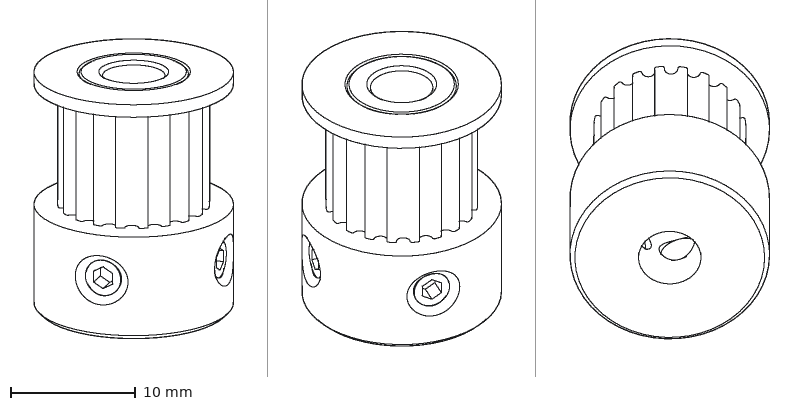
import cadquery as cq
import math

length = 20.0
outer_radius = 8.0
bore_radius = 2.5
bore_chamfer = 0.3

collar_top = 8.85
collar_chamfer = 0.4
guide_bevel_width = 0.4
guide_bevel_height = 0.08

tooth_count = 20
tooth_tip_radius = 6.12
groove_radius = 0.55
tip_round = 0.18
groove_half_width = groove_radius + tip_round

flange_bottom = 18.85
ring_groove_radius = 4.38
ring_groove_depth = 0.15

screw_z = 4.95
screw_radius = 1.5
hole_chamfer = 0.58
screw_head_distance = 7.35
chamfer_curve_points = 16
chamfer_overrun = 1.5
hex_flats = 1.6
hex_depth = 1.6
screw_angles = (-90, 0)


def make_blank():
    """Turned blank: collar, plain cylinder for the teeth and flange, with the bore."""
    bevel_radius = outer_radius - guide_bevel_width
    return (
        cq.Workplane("XZ")
        .moveTo(bore_radius, 0)
        .lineTo(outer_radius - collar_chamfer, 0)
        .lineTo(outer_radius, collar_chamfer)
        .lineTo(outer_radius, collar_top - guide_bevel_height)
        .lineTo(bevel_radius, collar_top)
        .lineTo(tooth_tip_radius, collar_top)
        .lineTo(tooth_tip_radius, flange_bottom)
        .lineTo(bevel_radius, flange_bottom)
        .lineTo(outer_radius, flange_bottom + guide_bevel_height)
        .lineTo(outer_radius, length)
        .lineTo(ring_groove_radius + ring_groove_depth, length)
        .lineTo(ring_groove_radius, length - ring_groove_depth)
        .lineTo(ring_groove_radius - ring_groove_depth, length)
        .lineTo(bore_radius + bore_chamfer, length)
        .lineTo(bore_radius, length - bore_chamfer)
        .close()
        .revolve(360, (0, 0, 0), (0, 1, 0))
    )


def make_groove():
    """Cutter for one belt groove on the +X side: round bottom and rounded tooth tips."""
    mouth = math.sqrt(tooth_tip_radius**2 - groove_half_width**2)
    centre = mouth - tip_round
    reach = tooth_tip_radius + tip_round
    mid = tip_round * (1 - math.sqrt(0.5))
    return (
        cq.Workplane("XY", origin=(0, 0, collar_top))
        .moveTo(reach, groove_half_width)
        .lineTo(mouth, groove_half_width)
        .threePointArc((mouth - mid, groove_radius + mid), (centre, groove_radius))
        .threePointArc((centre - groove_radius, 0), (centre, -groove_radius))
        .threePointArc((mouth - mid, -groove_radius - mid), (mouth, -groove_half_width))
        .lineTo(reach, -groove_half_width)
        .close()
        .extrude(flange_bottom - collar_top)
    )


def make_screw_hole():
    """Cutter for the plain screw hole on the +X side, from the axis outwards."""
    return (
        cq.Workplane("YZ", origin=(0, 0, screw_z))
        .circle(screw_radius)
        .extrude(outer_radius)
    )


def chamfer_point(turn, run):
    """Point on the hole chamfer: run 0 lies on the hole wall, run 1 on the collar surface.

    The chamfer is the same distance from both faces all the way round, so each of its
    straight lines joins the two feet of a point that is hole_chamfer from both faces.
    """
    rim_radius = screw_radius + hole_chamfer
    inset_radius = outer_radius - hole_chamfer
    y = rim_radius * math.cos(turn)
    z = rim_radius * math.sin(turn)
    x = math.sqrt(inset_radius**2 - y**2)
    wall_foot = cq.Vector(x, y * screw_radius / rim_radius, z * screw_radius / rim_radius)
    surface_foot = cq.Vector(x * outer_radius / inset_radius, y * outer_radius / inset_radius, z)
    return wall_foot + (surface_foot - wall_foot) * run + cq.Vector(0, 0, screw_z)


def make_hole_chamfer():
    """Cutter for the chamfer round the screw hole, carried on past the collar surface."""
    turns = [2 * math.pi * i / chamfer_curve_points for i in range(chamfer_curve_points)]
    rims = []
    for run in (0, chamfer_overrun):
        points = [chamfer_point(turn, run) for turn in turns]
        rims.append(cq.Edge.makeSpline(points, periodic=True))
    side = cq.Face.makeRuledSurface(*rims)
    caps = [cq.Face.makeNSidedSurface([rim], []) for rim in rims]
    return cq.Workplane(cq.Solid.makeSolid(cq.Shell.makeShell([side, *caps])))


def turned(body, angle):
    return body.rotate((0, 0, 0), (0, 0, 1), angle)


def make_pulley():
    pulley = make_blank()
    for angle in screw_angles:
        pulley = pulley.cut(turned(make_screw_hole(), angle))
        pulley = pulley.cut(turned(make_hole_chamfer(), angle))
    groove = make_groove()
    for i in range(tooth_count):
        pulley = pulley.cut(turned(groove, i * 360 / tooth_count))
    return pulley


def make_screw():
    return (
        cq.Workplane("YZ", origin=(bore_radius, 0, screw_z))
        .circle(screw_radius)
        .extrude(screw_head_distance - bore_radius)
        .faces(">X")
        .workplane()
        .polygon(6, hex_flats, circumscribed=True)
        .cutBlind(-hex_depth)
    )


pulley = make_pulley()
screws = [turned(make_screw(), angle) for angle in screw_angles]
result = cq.Compound.makeCompound([pulley.val(), *[screw.val() for screw in screws]])